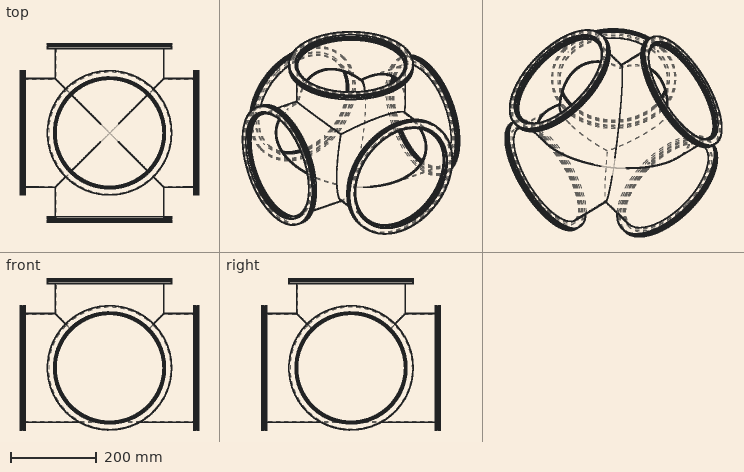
import cadquery as cq

reach = 208.0
pipe_bore_radius = 125.0
pipe_wall = 2.0

flange_radius = 145.0
flange_thickness = 12.0
recess_radius = 130.5
recess_depth = 5.0
lip_thickness = 2.0

groove_start = 3.0
groove_end = 7.5
groove_depth = 2.5
groove_front_run = 1.0
groove_back_run = 3.0

pipe_radius = pipe_bore_radius + pipe_wall
pipe_length = reach - recess_depth - lip_thickness

branch_directions = [(1, 0, 0), (-1, 0, 0), (0, 1, 0), (0, -1, 0), (0, 0, 1)]


def branch_plane(direction):
    """Plane at the centre of the cross whose normal runs along one branch."""
    x_axis = (1, 0, 0) if direction[0] == 0 else (0, 1, 0)
    return cq.Plane(origin=(0, 0, 0), xDir=x_axis, normal=direction)


def crossed_cylinders(radius, length):
    """Two full horizontal cylinders and one rising from the centre."""
    along_x = cq.Workplane("YZ").circle(radius).extrude(length, both=True)
    along_y = cq.Workplane("XZ").circle(radius).extrude(length, both=True)
    upright = cq.Workplane("XY").circle(radius).extrude(length)
    return along_x.union(along_y).union(upright)


def make_pipe_cross():
    """Thin-walled five-way body, closed underneath by the lower pipe walls."""
    outside = crossed_cylinders(pipe_radius, pipe_length)
    inside = crossed_cylinders(pipe_bore_radius, pipe_length)
    return outside.cut(inside)


def make_flange(direction):
    """Clamp flange: a ring with a face recess, a pipe socket and a rim groove, revolved about its branch."""
    face = reach
    back = reach - flange_thickness
    groove_floor = flange_radius - groove_depth
    profile = [
        (pipe_radius, back),
        (flange_radius, back),
        (flange_radius, face - groove_end),
        (groove_floor, face - groove_end + groove_back_run),
        (groove_floor, face - groove_start - groove_front_run),
        (flange_radius, face - groove_start),
        (flange_radius, face),
        (recess_radius, face),
        (recess_radius, face - recess_depth),
        (pipe_bore_radius, face - recess_depth),
        (pipe_bore_radius, pipe_length),
        (pipe_radius, pipe_length),
    ]
    outline = cq.Workplane("XZ").polyline(profile).close()
    ring = outline.revolve(360, (0, 0, 0), (0, 1, 0))
    placement = cq.Location(branch_plane(direction))
    return cq.Workplane(ring.val().moved(placement))


pipe_cross = make_pipe_cross()
flanges = [make_flange(direction) for direction in branch_directions]

result = cq.Compound.makeCompound([pipe_cross.val(), *[flange.val() for flange in flanges]])